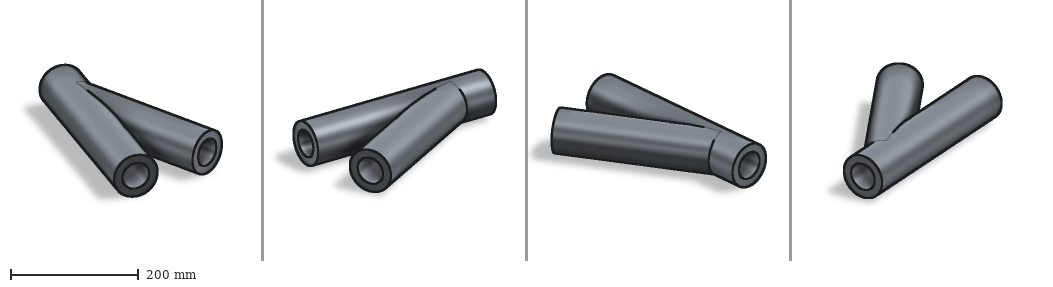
import cadquery as cq

run_length = 330.2
outer_diameter = 73.0
bore_diameter = 45.0
junction_x = 63.7
branch_angle = 30.0
branch_length = run_length - junction_x


def run_cylinder(diameter):
    """Cylinder along X over the full run."""
    return cq.Workplane("YZ").circle(diameter / 2).extrude(run_length)


def branch_cylinder(diameter):
    """Cylinder from the junction point to the branch outlet."""
    straight = cq.Workplane("YZ", origin=(junction_x, 0, 0)).circle(diameter / 2).extrude(branch_length)
    return straight.rotate((junction_x, 0, 0), (junction_x, 0, 1), branch_angle)


body = run_cylinder(outer_diameter).union(branch_cylinder(outer_diameter))

result = body.cut(run_cylinder(bore_diameter)).cut(branch_cylinder(bore_diameter))